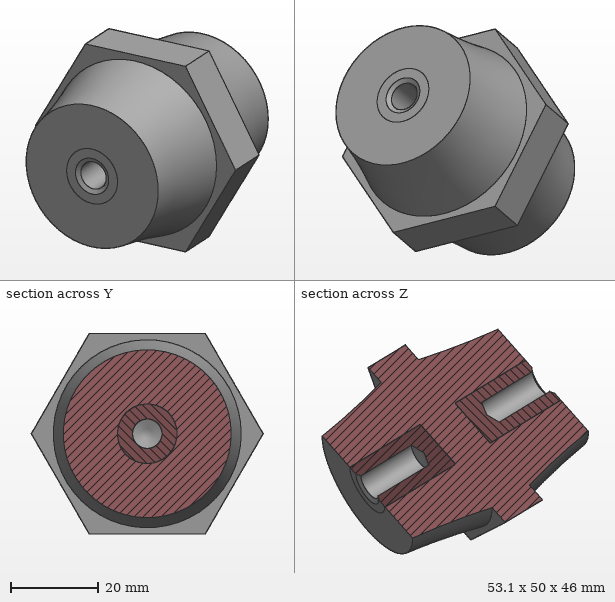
import cadquery as cq
import math

ACROSS_CORNERS = 53.1
FLANGE_WIDTH = 10.7
BODY_LENGTH = 50.0
END_RADIUS = 17.55
FLANGE_RADIUS = 21.5
FLANK_SAG = 0.3

INSERT_RADIUS = 6.75
INSERT_LENGTH = 19.95
BORE_RADIUS = 3.35
MOUTH_RADIUS = 4.4
COUNTERSINK_DEPTH = 0.65
BORE_DEPTH = 15.0
DRILL_POINT_ANGLE = 145.0

HALF_LENGTH = BODY_LENGTH / 2
HALF_FLANGE = FLANGE_WIDTH / 2


def flank_midpoint():
    """Middle of the hollow flank arc, set in from its chord towards the axis."""
    rise = FLANGE_RADIUS - END_RADIUS
    run = HALF_LENGTH - HALF_FLANGE
    chord = math.hypot(rise, run)
    radius = (FLANGE_RADIUS + END_RADIUS) / 2 - FLANK_SAG * run / chord
    along = (HALF_LENGTH + HALF_FLANGE) / 2 - FLANK_SAG * rise / chord
    return radius, along


def revolve_about_y(profile):
    return profile.close().revolve(360, (0, 0, 0), (0, 1, 0))


def make_barrel():
    """Round body, widest at the flange, narrowing to both ends along hollow flanks."""
    mid_radius, mid_y = flank_midpoint()
    profile = (
        cq.Workplane("XY")
        .moveTo(0, -HALF_LENGTH)
        .lineTo(END_RADIUS, -HALF_LENGTH)
        .threePointArc((mid_radius, -mid_y), (FLANGE_RADIUS, -HALF_FLANGE))
        .lineTo(FLANGE_RADIUS, HALF_FLANGE)
        .threePointArc((mid_radius, mid_y), (END_RADIUS, HALF_LENGTH))
        .lineTo(0, HALF_LENGTH)
    )
    return revolve_about_y(profile)


def make_flange():
    return cq.Workplane("XZ").polygon(6, ACROSS_CORNERS).extrude(HALF_FLANGE, both=True)


def make_insert_blank():
    """Plain cylinder filling the insert's socket at the -Y end."""
    return (
        cq.Workplane("XZ", origin=(0, -HALF_LENGTH, 0))
        .circle(INSERT_RADIUS)
        .extrude(-INSERT_LENGTH)
    )


def make_bore():
    """Countersunk blind hole with a drill point, entering from the -Y end."""
    point_depth = BORE_RADIUS / math.tan(math.radians(DRILL_POINT_ANGLE / 2))
    bore_end = -HALF_LENGTH + BORE_DEPTH
    profile = (
        cq.Workplane("XY")
        .moveTo(0, -HALF_LENGTH)
        .lineTo(MOUTH_RADIUS, -HALF_LENGTH)
        .lineTo(BORE_RADIUS, -HALF_LENGTH + COUNTERSINK_DEPTH)
        .lineTo(BORE_RADIUS, bore_end)
        .lineTo(0, bore_end + point_depth)
    )
    return revolve_about_y(profile)


def at_both_ends(body):
    """The body at the -Y end and a copy turned half a turn about Z to the +Y end."""
    return [body.rotate((0, 0, 0), (0, 0, 1), angle) for angle in (0, 180)]


housing = make_barrel().union(make_flange())
for socket in at_both_ends(make_insert_blank()):
    housing = housing.cut(socket)

inserts = at_both_ends(make_insert_blank().cut(make_bore()))

result = cq.Compound.makeCompound([housing.val(), *[insert.val() for insert in inserts]])